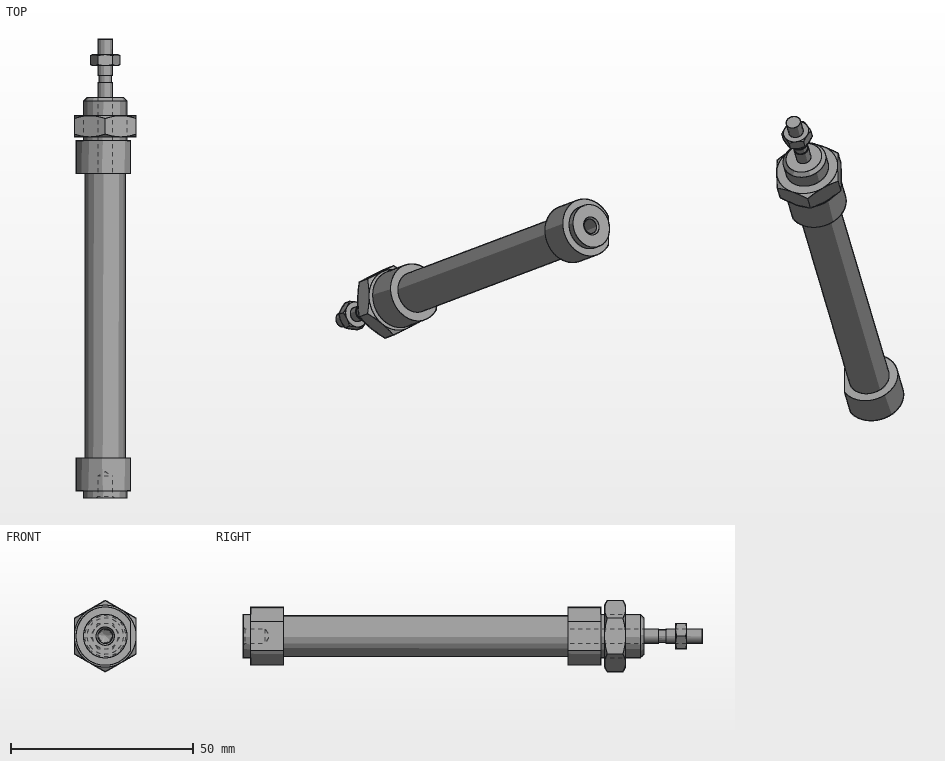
import cadquery as cq
import math

OVERALL_LENGTH = 126.0

BOSS_DIAMETER = 12.0
TUBE_DIAMETER = 11.2
CAP_DIAMETER = 16.0
CAP_LENGTH = 9.1
CAP_FLAT_OFFSET = 6.9
REAR_BOSS_LENGTH = 2.0
FRONT_BOSS_LENGTH = 11.8
FRONT_BOSS_CHAMFER = 1.0
PORT_DIAMETER = 4.0
PORT_DEPTH = 6.0
PORT_CHAMFER = 0.5
PORT_TIP_HALF_ANGLE = math.radians(59)

ROD_DIAMETER = 4.0
ROD_PROJECTION = 16.0
NECK_DIAMETER = 3.5
NECK_LENGTH = 2.0
NECK_TO_TIP = 10.0

NUT_CHAMFER_ANGLE = math.radians(30)
MOUNT_NUT_FLATS = 17.0
MOUNT_NUT_THICKNESS = 5.8
MOUNT_NUT_GAP = 1.0
ROD_NUT_FLATS = 7.0
ROD_NUT_THICKNESS = 3.0
ROD_NUT_TO_TIP = 4.3

FRONT_BOSS_END = OVERALL_LENGTH - ROD_PROJECTION
FRONT_CAP_END = FRONT_BOSS_END - FRONT_BOSS_LENGTH
FRONT_CAP_START = FRONT_CAP_END - CAP_LENGTH
REAR_CAP_END = REAR_BOSS_LENGTH + CAP_LENGTH
ROD_START = FRONT_CAP_START
MOUNT_NUT_START = FRONT_CAP_END + MOUNT_NUT_GAP
ROD_NUT_START = OVERALL_LENGTH - ROD_NUT_TO_TIP - ROD_NUT_THICKNESS


def plane_at(y):
    """Plane across the axis, with its normal toward the rod tip."""
    return cq.Plane(origin=(0, y, 0), xDir=(1, 0, 0), normal=(0, 1, 0))


def cylinder(diameter, start, end):
    return cq.Workplane(plane_at(start)).circle(diameter / 2).extrude(end - start)


def revolve_about_y(radius_y_points):
    return cq.Workplane("XY").polyline(radius_y_points).close().revolve(360, (0, 0), (0, 1))


def make_cap(start):
    """Round end cap with one flat parallel to the axis."""
    cap = cylinder(CAP_DIAMETER, start, start + CAP_LENGTH)
    flat_cut = (
        cq.Workplane(plane_at(start))
        .center(CAP_FLAT_OFFSET + CAP_DIAMETER / 2, 0)
        .rect(CAP_DIAMETER, CAP_DIAMETER)
        .extrude(CAP_LENGTH)
    )
    return cap.cut(flat_cut)


def make_rear_port():
    """Blind drilled hole with a chamfered mouth and a conical bottom."""
    radius = PORT_DIAMETER / 2
    tip_length = radius / math.tan(PORT_TIP_HALF_ANGLE)
    return revolve_about_y([
        (0, 0),
        (radius + PORT_CHAMFER, 0),
        (radius, PORT_CHAMFER),
        (radius, PORT_DEPTH),
        (0, PORT_DEPTH + tip_length),
    ])


def make_housing():
    front_boss = (
        cylinder(BOSS_DIAMETER, FRONT_CAP_END, FRONT_BOSS_END)
        .faces(">Y")
        .chamfer(FRONT_BOSS_CHAMFER)
    )
    return (
        cylinder(BOSS_DIAMETER, 0, REAR_BOSS_LENGTH)
        .union(make_cap(REAR_BOSS_LENGTH))
        .union(cylinder(TUBE_DIAMETER, REAR_CAP_END, FRONT_CAP_START))
        .union(make_cap(FRONT_CAP_START))
        .union(front_boss)
        .cut(make_rear_port())
        .cut(cylinder(ROD_DIAMETER, ROD_START, FRONT_BOSS_END))
    )


def make_rod():
    """Piston rod with a narrow neck."""
    neck_end = OVERALL_LENGTH - NECK_TO_TIP
    neck_start = neck_end - NECK_LENGTH
    return (
        cylinder(ROD_DIAMETER, ROD_START, neck_start)
        .union(cylinder(NECK_DIAMETER, neck_start, neck_end))
        .union(cylinder(ROD_DIAMETER, neck_end, OVERALL_LENGTH))
    )


def make_nut(flats, thickness, bore, start, turn):
    """Hexagon nut with both ends chamfered; turn = 0 puts two corners on the X axis."""
    corner_radius = flats / math.sqrt(3)
    face_radius = flats / 2
    end = start + thickness
    bevel = (corner_radius - face_radius) * math.tan(NUT_CHAMFER_ANGLE)
    prism = (
        cq.Workplane(plane_at(start))
        .polygon(6, 2 * corner_radius)
        .extrude(thickness)
        .rotate((0, 0, 0), (0, 1, 0), turn)
    )
    bevelled_envelope = revolve_about_y([
        (0, start),
        (face_radius, start),
        (corner_radius, start + bevel),
        (corner_radius, end - bevel),
        (face_radius, end),
        (0, end),
    ])
    return prism.intersect(bevelled_envelope).cut(cylinder(bore, start, end))


housing = make_housing()
rod = make_rod()
mount_nut = make_nut(MOUNT_NUT_FLATS, MOUNT_NUT_THICKNESS, BOSS_DIAMETER, MOUNT_NUT_START, turn=30)
rod_nut = make_nut(ROD_NUT_FLATS, ROD_NUT_THICKNESS, ROD_DIAMETER, ROD_NUT_START, turn=0)

bodies = [housing, rod, mount_nut, rod_nut]
result = cq.Compound.makeCompound([body.solids().val() for body in bodies])